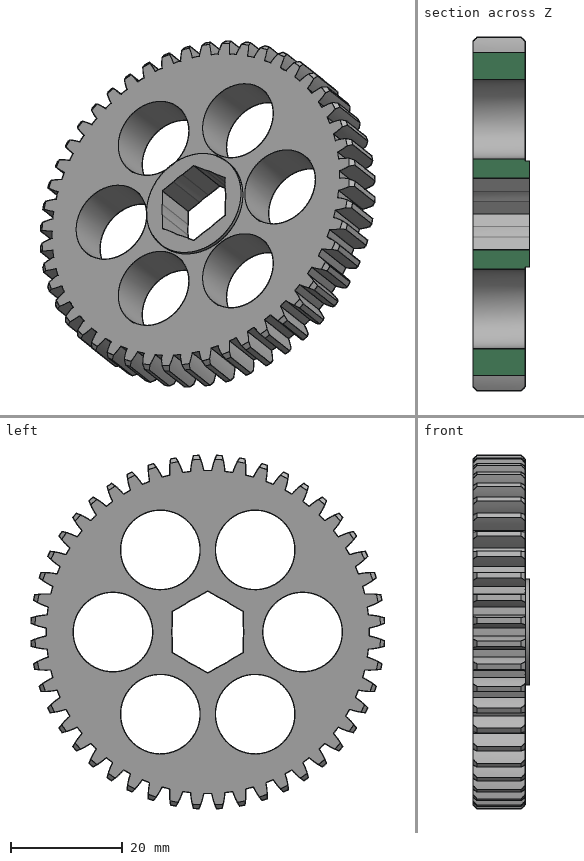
import cadquery as cq
import math

INCH = 25.4
TEETH = 48
MODULE = INCH / 20
TOOTH_PITCH = 2 * math.pi / TEETH
DEDENDUM_FACTOR = 1.19
PITCH_RADIUS = MODULE * TEETH / 2
TIP_RADIUS = PITCH_RADIUS + MODULE
ROOT_RADIUS = PITCH_RADIUS - DEDENDUM_FACTOR * MODULE
TIP_TOOTH_WIDTH = 1.02
PITCH_TOOTH_WIDTH = 1.83
ROOT_TOOTH_WIDTH = 2.4

BOSS_HEIGHT = 0.03 * INCH
OVERALL_WIDTH = 10.21
FACE_WIDTH = OVERALL_WIDTH - BOSS_HEIGHT
TIP_CHAMFER = 0.03 * INCH
BOSS_DIAMETER = 0.75 * INCH
HEX_SIDES = 6
HEX_ACROSS_FLATS = INCH / 2
BORE_RELIEF_DIAMETER = 12.87
HOLE_COUNT = 6
HOLE_DIAMETER = 14.22
HOLE_CIRCLE_RADIUS = 17.0


def polar(radius, angle):
    """Point at a radius and angle about the gear axis."""
    return (radius * math.cos(angle), radius * math.sin(angle))


def gear_blank():
    """Extruded gear: each flank is one arc through its root, pitch and tip points."""
    radii = [ROOT_RADIUS, PITCH_RADIUS, TIP_RADIUS]
    widths = [ROOT_TOOTH_WIDTH, PITCH_TOOTH_WIDTH, TIP_TOOTH_WIDTH]
    half_angles = [width / (2 * radius) for radius, width in zip(radii, widths)]
    root_half_angle = half_angles[0]
    first_center = TOOTH_PITCH / 2

    outline = cq.Workplane("YZ").moveTo(*polar(ROOT_RADIUS, first_center - root_half_angle))
    for tooth in range(TEETH):
        center = first_center + tooth * TOOTH_PITCH
        rising = [polar(radius, center - half) for radius, half in zip(radii, half_angles)]
        falling = [polar(radius, center + half) for radius, half in zip(radii, half_angles)]
        tip_middle = polar(TIP_RADIUS, center)
        root_middle = polar(ROOT_RADIUS, center + TOOTH_PITCH / 2)
        next_flank = polar(ROOT_RADIUS, center + TOOTH_PITCH - root_half_angle)
        outline = (
            outline.threePointArc(rising[1], rising[2])
            .threePointArc(tip_middle, falling[2])
            .threePointArc(falling[1], falling[0])
            .threePointArc(root_middle, next_flank)
        )
    return outline.close().extrude(FACE_WIDTH)


def chamfered_envelope():
    """Disc whose bevelled rims trim the ends of the teeth."""
    return cq.Workplane("YZ").circle(TIP_RADIUS).extrude(FACE_WIDTH).edges().chamfer(TIP_CHAMFER)


def boss():
    """Low round hub on the +X face."""
    return cq.Workplane("YZ", origin=(FACE_WIDTH, 0, 0)).circle(BOSS_DIAMETER / 2).extrude(BOSS_HEIGHT)


def hex_bore():
    """Through hexagon with two corners on the Z axis; a round relief bulges its flats slightly."""
    corner_diameter = HEX_ACROSS_FLATS / math.cos(math.pi / HEX_SIDES)
    hexagon = cq.Workplane("YZ").polygon(HEX_SIDES, corner_diameter).extrude(OVERALL_WIDTH)
    relief = cq.Workplane("YZ").circle(BORE_RELIEF_DIAMETER / 2).extrude(OVERALL_WIDTH)
    return hexagon.rotate((0, 0, 0), (1, 0, 0), 90).union(relief)


def lightening_holes():
    """Ring of round through holes."""
    return (
        cq.Workplane("YZ")
        .polarArray(HOLE_CIRCLE_RADIUS, 0, 360, HOLE_COUNT)
        .circle(HOLE_DIAMETER / 2)
        .extrude(FACE_WIDTH)
    )


gear = gear_blank().intersect(chamfered_envelope())
result = gear.union(boss()).cut(hex_bore()).cut(lightening_holes())